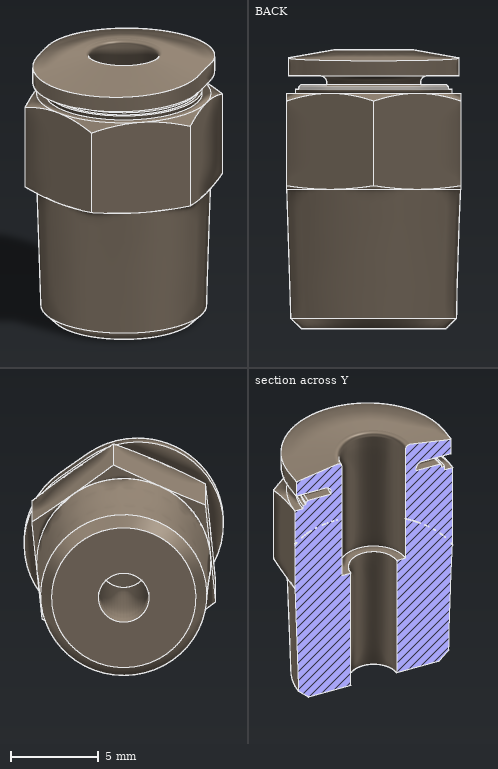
import cadquery as cq
import math

total_height = 16.0
hex_bottom = 8.0
hex_top = 13.5
lower_collar_top = 13.75
upper_collar_top = 14.0
cap_bottom = 14.5

stem_top_diameter = 9.98
stem_taper = 1 / 16
stem_chamfer = 0.6

hex_across_flats = 10.0
hex_top_chamfer_angle = 30.0
hex_bottom_chamfer_angle = 15.0

lower_collar_diameter = 9.0
upper_collar_diameter = 8.6
collar_edge_chamfer = 0.13
neck_diameter = 5.4
neck_fillet = 0.35

cap_width = 9.8
cap_length = 11.8
cap_cone_angle = 10.0

tube_bore_diameter = 4.0
tube_bore_bottom = hex_bottom
mouth_fillet = 0.29
through_bore_diameter = 2.9


def rise(run, angle):
    """Height gained along a cone over a radial run."""
    return run * math.tan(math.radians(angle))


def cylinder(diameter, bottom, top):
    """Vertical cylinder on the part axis between two heights."""
    return cq.Workplane("XY").workplane(offset=bottom).circle(diameter / 2).extrude(top - bottom)


def revolve_profile(points):
    """Revolve a closed (radius, height) profile about the part axis."""
    return cq.Workplane("XZ").polyline(points).close().revolve(360, (0, 0, 0), (0, 1, 0))


def make_stem():
    top_radius = stem_top_diameter / 2
    end_radius = top_radius - hex_bottom * stem_taper / 2
    chamfer_top_radius = end_radius + stem_chamfer * stem_taper / 2
    return revolve_profile([
        (0, 0),
        (end_radius - stem_chamfer, 0),
        (chamfer_top_radius, stem_chamfer),
        (top_radius, hex_bottom),
        (0, hex_bottom),
    ])


def make_hexagon():
    flat_radius = hex_across_flats / 2
    corner_radius = flat_radius / math.cos(math.radians(30))
    corner_run = corner_radius - flat_radius
    prism = (
        cq.Workplane("XY")
        .workplane(offset=hex_bottom)
        .polygon(6, 2 * corner_radius)
        .extrude(hex_top - hex_bottom)
        .rotate((0, 0, 0), (0, 0, 1), 30)
    )
    envelope = revolve_profile([
        (0, hex_bottom),
        (flat_radius, hex_bottom),
        (corner_radius, hex_bottom + rise(corner_run, hex_bottom_chamfer_angle)),
        (corner_radius, hex_top - rise(corner_run, hex_top_chamfer_angle)),
        (flat_radius, hex_top),
        (0, hex_top),
    ])
    return prism.intersect(envelope)


def make_collars():
    lower = cylinder(lower_collar_diameter, hex_top, lower_collar_top)
    upper = cylinder(upper_collar_diameter, lower_collar_top, upper_collar_top)
    return lower.union(upper.faces(">Z").edges().chamfer(collar_edge_chamfer))


def make_neck():
    neck_radius = neck_diameter / 2
    arc_offset = neck_fillet * (1 - math.sqrt(0.5))
    return (
        cq.Workplane("XZ")
        .moveTo(0, upper_collar_top)
        .lineTo(neck_radius, upper_collar_top)
        .lineTo(neck_radius, cap_bottom - neck_fillet)
        .threePointArc(
            (neck_radius + arc_offset, cap_bottom - arc_offset),
            (neck_radius + neck_fillet, cap_bottom),
        )
        .lineTo(0, cap_bottom)
        .close()
        .revolve(360, (0, 0, 0), (0, 1, 0))
    )


def make_cap():
    mouth_radius = tube_bore_diameter / 2 + mouth_fillet
    outer_radius = cap_length / 2
    stadium = (
        cq.Workplane("XY")
        .workplane(offset=cap_bottom)
        .slot2D(cap_length, cap_width, 90)
        .extrude(total_height - cap_bottom)
    )
    envelope = revolve_profile([
        (0, cap_bottom),
        (outer_radius, cap_bottom),
        (outer_radius, total_height - rise(outer_radius - mouth_radius, cap_cone_angle)),
        (mouth_radius, total_height),
        (0, total_height),
    ])
    return stadium.intersect(envelope)


def make_bore():
    through = cylinder(through_bore_diameter, 0, total_height)
    tube = cylinder(tube_bore_diameter, tube_bore_bottom, total_height)
    bore_radius = tube_bore_diameter / 2
    arc_offset = mouth_fillet * (1 - math.sqrt(0.5))
    mouth = (
        cq.Workplane("XZ")
        .moveTo(0, total_height - mouth_fillet)
        .lineTo(bore_radius, total_height - mouth_fillet)
        .threePointArc(
            (bore_radius + arc_offset, total_height - arc_offset),
            (bore_radius + mouth_fillet, total_height),
        )
        .lineTo(0, total_height)
        .close()
        .revolve(360, (0, 0, 0), (0, 1, 0))
    )
    return through.union(tube).union(mouth)


body = make_stem()
for section in (make_hexagon(), make_collars(), make_neck(), make_cap()):
    body = body.union(section)

result = body.cut(make_bore())